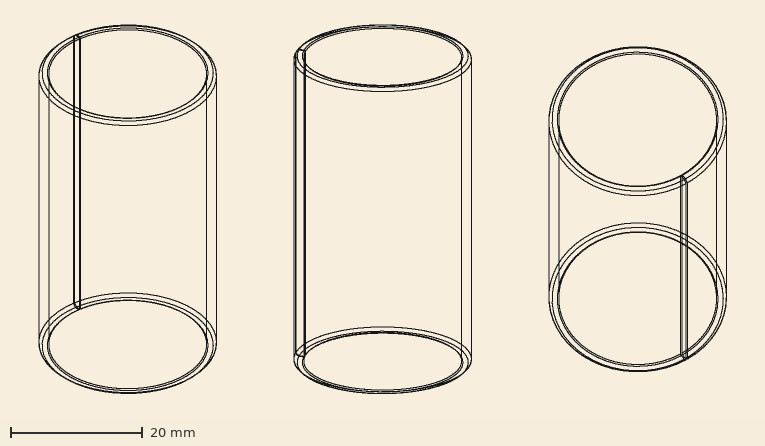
import cadquery as cq

outer_diameter = 27.0
wall = 1.5
length = 50.0
outer_chamfer = 0.5
inner_chamfer = 0.2
split_angle = 1.0

outer_radius = outer_diameter / 2
inner_radius = outer_radius - wall
half_length = length / 2


def wall_section():
    """Wall section on the -X side, with its corners chamfered at both ends."""
    corners = [
        (-inner_radius, -half_length + inner_chamfer),
        (-inner_radius - inner_chamfer, -half_length),
        (-outer_radius + outer_chamfer, -half_length),
        (-outer_radius, -half_length + outer_chamfer),
        (-outer_radius, half_length - outer_chamfer),
        (-outer_radius + outer_chamfer, half_length),
        (-inner_radius - inner_chamfer, half_length),
        (-inner_radius, half_length - inner_chamfer),
    ]
    return cq.Workplane("XZ").polyline(corners).close()


def split_sleeve():
    """Revolve the section about Z, stopping short of a full turn to leave the split."""
    return wall_section().revolve(360 - split_angle, (0, 0), (0, 1))


result = split_sleeve()